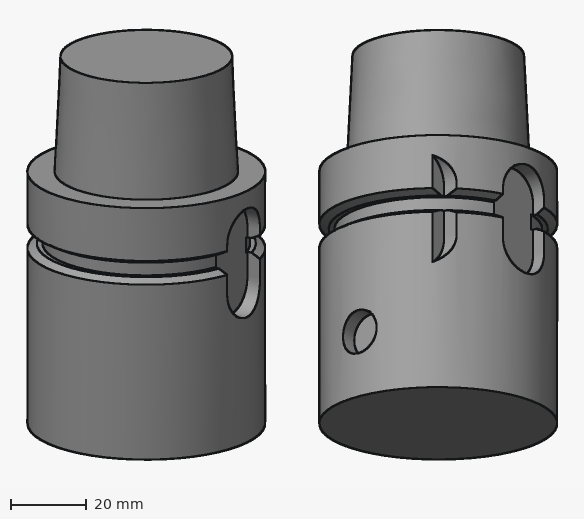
import cadquery as cq

body_diameter = 63.0
body_height = 70.0
total_height = 102.0

shank_base_diameter = 48.6
shank_top_diameter = 45.5

groove_diameter = 55.0
groove_bottom_z = 50.0
groove_width = 4.0
lip_chamfer_depth = 2.5
lip_chamfer_height = 1.3

slot_center_spacing = 14.0
slot_center_z = 50.0
main_slot_width = 16.2
main_slot_floor_distance = 26.5
corner_slot_width = 18.0
corner_slot_floor_distance = 20.0
corner_slot_center_z = 49.6
corner_slot_inner_edge_y = 19.8

side_hole_diameter = 12.0
side_hole_z = 18.0
side_hole_depth = 5.0

body_radius = body_diameter / 2
groove_radius = groove_diameter / 2
groove_top_z = groove_bottom_z + groove_width


def make_turned_body():
    """Revolve the half profile of body, groove and shank about Z."""
    return (
        cq.Workplane("XZ")
        .lineTo(body_radius, 0)
        .lineTo(body_radius, groove_bottom_z - lip_chamfer_height)
        .lineTo(body_radius - lip_chamfer_depth, groove_bottom_z)
        .lineTo(groove_radius, groove_bottom_z)
        .lineTo(groove_radius, groove_top_z)
        .lineTo(body_radius - lip_chamfer_depth, groove_top_z)
        .lineTo(body_radius, groove_top_z + lip_chamfer_height)
        .lineTo(body_radius, body_height)
        .lineTo(shank_base_diameter / 2, body_height)
        .lineTo(shank_top_diameter / 2, total_height)
        .lineTo(0, total_height)
        .close()
        .revolve(360, (0, 0, 0), (0, 1, 0))
    )


def make_slot_cutter(width, floor_distance, center_y, center_z, side):
    """Upright obround prism from the slot floor out past the body; side is +1 or -1 along X."""
    return (
        cq.Workplane("YZ", origin=(side * floor_distance, center_y, center_z))
        .slot2D(slot_center_spacing + width, width, 90)
        .extrude(side * body_radius)
    )


def make_side_hole_cutter():
    """Blind radial hole entering from the +Y side."""
    return (
        cq.Workplane("XZ", origin=(0, body_radius, side_hole_z))
        .circle(side_hole_diameter / 2)
        .extrude(side_hole_depth)
    )


def cut_main_slots(part):
    """Cut the equal slots on the -X and +X sides."""
    for side in (-1, 1):
        part = part.cut(make_slot_cutter(main_slot_width, main_slot_floor_distance, 0, slot_center_z, side))
    return part


def cut_corner_slot(part):
    """Cut the deeper slot whose flat floor runs out through the body on its +Y side."""
    center_y = corner_slot_inner_edge_y + corner_slot_width / 2
    return part.cut(
        make_slot_cutter(corner_slot_width, corner_slot_floor_distance, center_y, corner_slot_center_z, -1)
    )


result = make_turned_body()
result = cut_main_slots(result)
result = cut_corner_slot(result)
result = result.cut(make_side_hole_cutter())